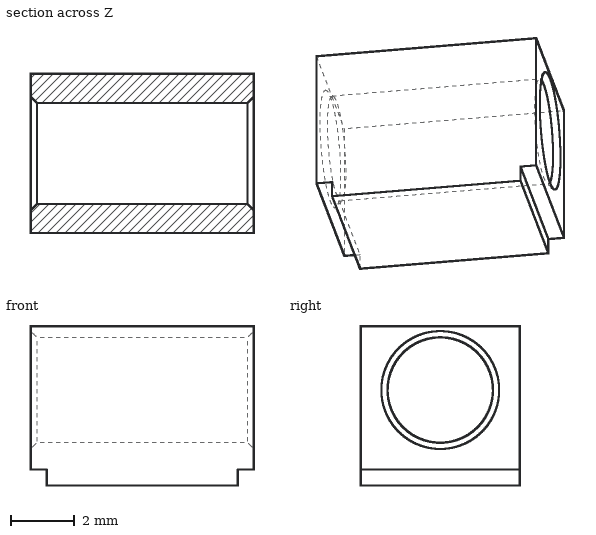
import cadquery as cq

length = 7.0
width = 5.0
height = 5.0

step = 0.5

bore_diameter = 3.3
bore_height = 3.0
bore_chamfer = 0.2


def stepped_block():
    """Block whose foot is shorter than its body at both ends."""
    foot_length = length - 2 * step
    foot = cq.Workplane("XY").box(foot_length, width, step, centered=(True, True, False))
    body = (
        cq.Workplane("XY")
        .workplane(offset=step)
        .box(length, width, height - step, centered=(True, True, False))
    )
    return body.union(foot)


def chamfered_bore():
    """Solid to cut away: half profile of the bore revolved about its axis."""
    radius = bore_diameter / 2
    mouth_radius = radius + bore_chamfer
    end = length / 2
    profile = [
        (-end, 0),
        (-end, mouth_radius),
        (-end + bore_chamfer, radius),
        (end - bore_chamfer, radius),
        (end, mouth_radius),
        (end, 0),
    ]
    return (
        cq.Workplane("XZ", origin=(0, 0, bore_height))
        .polyline(profile)
        .close()
        .revolve(360, (0, 0), (1, 0))
    )


result = stepped_block().cut(chamfered_bore())